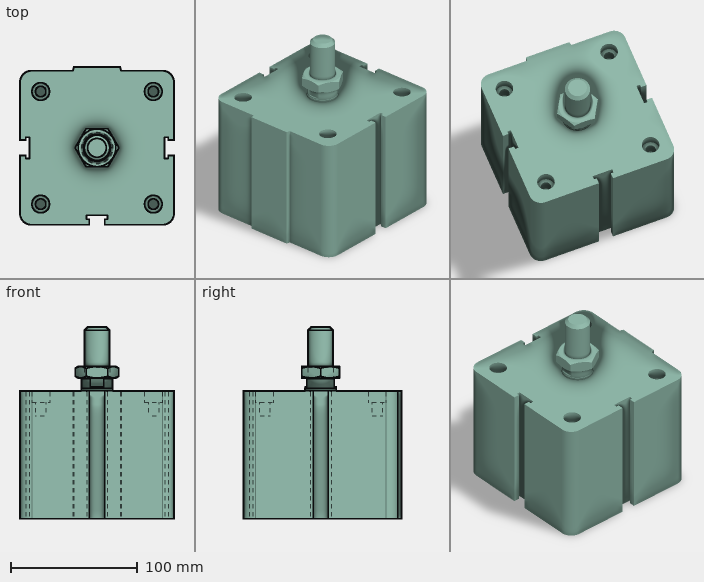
import cadquery as cq
import math

housing_width = 122.0
housing_height = 101.0
corner_radius = 9.4

slot_mouth_width = 12.0
slot_head_width = 16.5
slot_lip_depth = 4.7
slot_depth = 7.5
slot_side_angles = (0, 90, 270)

pad_height = 3.0
pad_base_width = 38.2
pad_top_width = 36.7

hole_spacing = 89.0
counterbore_diameter = 14.0
counterbore_depth = 9.0
hole_diameter = 8.3
hole_depth = 19.7

overall_height = 151.5
rod_diameter = 25.0
rod_collar_height = 2.1
neck_diameter = 24.5
neck_chamfer = 0.5
flat_width = 22.0
flat_start = 3.2
thread_diameter = 20.0
thread_chamfer = 2.5

nut_start = 10.2
nut_height = 9.1
nut_sides = 6
nut_across_flats = 30.0
nut_face_diameter = 29.7
nut_bevel_angle = 30
nut_countersink_diameter = 21.4


def t_slot():
    """T-slot cutter opening towards -Y."""
    face_y = -housing_width / 2
    mouth = (
        cq.Workplane("XY")
        .rect(slot_mouth_width, 2 * slot_depth)
        .extrude(housing_height)
        .translate((0, face_y, 0))
    )
    head_thickness = slot_depth - slot_lip_depth
    head = (
        cq.Workplane("XY")
        .rect(slot_head_width, head_thickness)
        .extrude(housing_height)
        .translate((0, face_y + slot_depth - head_thickness / 2, 0))
    )
    return mouth.union(head)


def side_pad():
    """Full-height pad with sloping flanks on the +Y side."""
    face_y = housing_width / 2
    return (
        cq.Workplane("XY")
        .moveTo(-pad_base_width / 2, face_y)
        .lineTo(-pad_top_width / 2, face_y + pad_height)
        .lineTo(pad_top_width / 2, face_y + pad_height)
        .lineTo(pad_base_width / 2, face_y)
        .close()
        .extrude(housing_height)
    )


def make_housing():
    block = (
        cq.Workplane("XY")
        .rect(housing_width, housing_width)
        .extrude(housing_height)
        .edges("|Z")
        .fillet(corner_radius)
        .union(side_pad())
    )
    for angle in slot_side_angles:
        block = block.cut(t_slot().rotate((0, 0, 0), (0, 0, 1), angle))
    return (
        block.faces(">Z")
        .workplane(origin=(0, 0, housing_height))
        .rect(hole_spacing, hole_spacing, forConstruction=True)
        .vertices()
        .cboreHole(hole_diameter, counterbore_diameter, counterbore_depth, hole_depth)
    )


def make_rod():
    """Stepped rod standing on the top face of the housing."""
    collar_bevel = (rod_diameter - neck_diameter) / 2
    collar = (
        cq.Workplane("XY")
        .circle(rod_diameter / 2)
        .extrude(rod_collar_height)
        .faces(">Z")
        .chamfer(collar_bevel)
    )
    neck = (
        cq.Workplane("XY")
        .circle(neck_diameter / 2)
        .extrude(nut_start)
        .faces(">Z")
        .chamfer(neck_chamfer)
    )
    flats = (
        cq.Workplane("XY")
        .workplane(offset=flat_start)
        .rect(neck_diameter, flat_width)
        .extrude(nut_start - flat_start)
    )
    round_foot = cq.Workplane("XY").circle(neck_diameter / 2).extrude(flat_start)
    neck = neck.intersect(flats.union(round_foot))
    thread = (
        cq.Workplane("XY")
        .circle(thread_diameter / 2)
        .extrude(overall_height - housing_height)
        .faces(">Z")
        .chamfer(thread_chamfer)
    )
    return collar.union(neck).union(thread).translate((0, 0, housing_height))


def make_nut():
    """Hexagon nut with bevelled corners and a countersunk bore."""
    across_corners = nut_across_flats / math.cos(math.pi / nut_sides)
    face_radius = nut_face_diameter / 2
    bevel_radius = across_corners / 2
    bevel_drop = (bevel_radius - face_radius) * math.tan(math.radians(nut_bevel_angle))
    bevel_envelope = (
        cq.Workplane("XZ")
        .moveTo(0, 0)
        .lineTo(face_radius, 0)
        .lineTo(bevel_radius, bevel_drop)
        .lineTo(bevel_radius, nut_height - bevel_drop)
        .lineTo(face_radius, nut_height)
        .lineTo(0, nut_height)
        .close()
        .revolve(360, (0, 0, 0), (0, 1, 0))
    )
    nut = (
        cq.Workplane("XY")
        .polygon(nut_sides, across_corners)
        .extrude(nut_height)
        .intersect(bevel_envelope)
        .cut(cq.Workplane("XY").circle(thread_diameter / 2).extrude(nut_height))
    )
    countersink = (nut_countersink_diameter - thread_diameter) / 2
    nut = nut.edges(cq.selectors.RadiusNthSelector(0)).chamfer(countersink)
    return nut.translate((0, 0, housing_height + nut_start))


housing = make_housing()
rod = make_rod()
nut = make_nut()

result = cq.Compound.makeCompound([housing.val(), rod.val(), nut.val()])